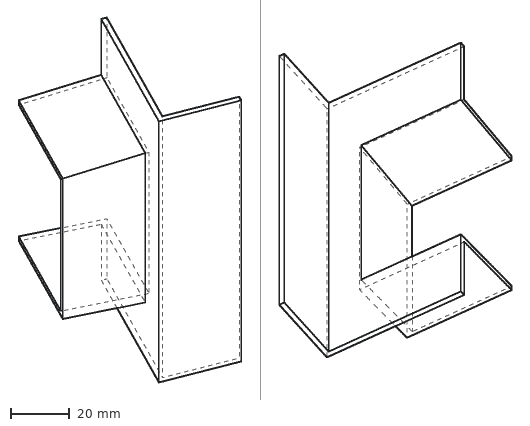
import cadquery as cq

width = 55.5
depth = 60.0
height = 120.0
wall = 2.0

tray_width = 42.4
tray_depth = 30.0
tray_root_height = 68.6
tray_tip_height = 64.5

plate_front = tray_depth
plate_back = plate_front + wall
mid_height = height / 2
taper_slope = (tray_root_height - tray_tip_height) / 2 / tray_depth


def tapered_block(length_x, inset):
    """Block from the tray tip to the plate back, its sloped faces moved inward by inset."""
    tip_half = tray_tip_height / 2 - inset
    back_half = tip_half + taper_slope * plate_back
    return (
        cq.Workplane("YZ")
        .polyline([
            (0, mid_height - tip_half),
            (plate_back, mid_height - back_half),
            (plate_back, mid_height + back_half),
            (0, mid_height + tip_half),
        ])
        .close()
        .extrude(length_x)
    )


plate = cq.Workplane("XY").box(width, wall, height, centered=False).translate((0, plate_front, 0))
flange = (
    cq.Workplane("XY")
    .box(wall, depth - plate_front, height, centered=False)
    .translate((width - wall, plate_front, 0))
)

tray_outer = tapered_block(tray_width, 0)
tray_opening = tapered_block(tray_width - wall, wall)

result = plate.union(flange).union(tray_outer).cut(tray_opening)